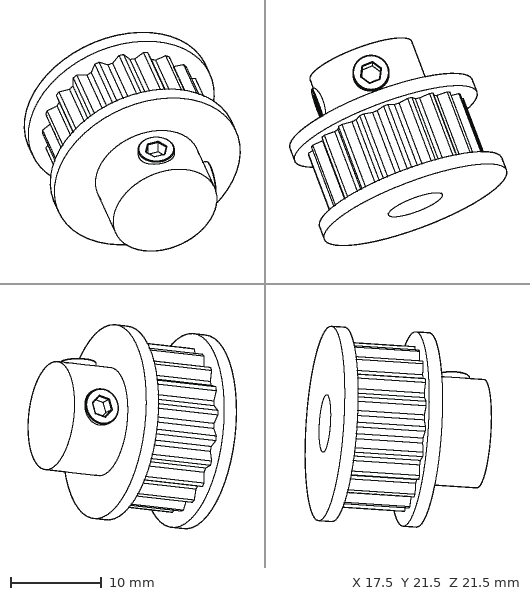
import math

import cadquery as cq

flange_diameter = 21.5
flange_thickness = 1.5
drum_width = 8.0
hub_diameter = 12.0
hub_length = 6.5
body_length = 2 * flange_thickness + drum_width + hub_length

bore_diameter = 6.35
bore_end_wall = 0.65

tooth_count = 20
tip_diameter = 18.19
tip_width = 0.52
root_diameter = 16.38
gap_width = 0.55

screw_diameter = 4.0
screw_length = 3.12
screw_edge_chamfer = 0.09
socket_across_flats = 2.02
socket_depth = 1.5
screw_x = body_length - hub_length / 2

z_screw_reach = 6.36
z_screw_turn = -57.5
y_screw_reach = 6.3
y_screw_turn = -103.0


def axial_plane(x):
    """Plane across the pulley axis at x, with its local x along +Z and its normal along +X."""
    return cq.Workplane(cq.Plane(origin=(x, 0, 0), xDir=(0, 0, 1), normal=(1, 0, 0)))


def axial_disc(x, diameter, length):
    return axial_plane(x).circle(diameter / 2).extrude(length)


def polar_point(radius, angle):
    return (radius * math.cos(angle), radius * math.sin(angle))


def make_toothed_drum():
    tip_radius = tip_diameter / 2
    root_radius = root_diameter / 2
    pitch_angle = 2 * math.pi / tooth_count
    tip_half_angle = math.asin(tip_width / 2 / tip_radius)
    gap_half_angle = math.asin(gap_width / 2 / root_radius)
    outline = []
    for tooth in range(tooth_count):
        tip_angle = tooth * pitch_angle
        gap_angle = tip_angle + pitch_angle / 2
        outline += [
            polar_point(tip_radius, tip_angle - tip_half_angle),
            polar_point(tip_radius, tip_angle + tip_half_angle),
            polar_point(root_radius, gap_angle - gap_half_angle),
            polar_point(root_radius, gap_angle + gap_half_angle),
        ]
    return axial_plane(flange_thickness).polyline(outline).close().extrude(drum_width)


def make_screw_blank():
    """Plain screw cylinder with its outer face at z = 0, reaching down -Z."""
    return cq.Workplane("XY").circle(screw_diameter / 2).extrude(-screw_length)


def make_set_screw():
    """Screw with a hex socket; its rim and the socket's mouth are both chamfered."""
    socket_corner_diameter = socket_across_flats / math.cos(math.pi / 6)
    socket = (
        cq.Workplane("XY")
        .polygon(6, socket_corner_diameter)
        .extrude(-socket_depth)
        .rotate((0, 0, 0), (0, 0, 1), 30)
    )
    return make_screw_blank().cut(socket).faces(">Z").chamfer(screw_edge_chamfer)


def place_on_z_side(screw):
    turned = screw.rotate((0, 0, 0), (0, 0, 1), z_screw_turn)
    return turned.translate((screw_x, 0, z_screw_reach))


def place_on_y_side(screw):
    turned = screw.rotate((0, 0, 0), (0, 0, 1), y_screw_turn)
    tipped = turned.rotate((0, 0, 0), (1, 0, 0), -90)
    return tipped.translate((screw_x, y_screw_reach, 0))


screw_placements = [place_on_z_side, place_on_y_side]


def make_screw_hole():
    """Hole cutter with the screw's outer face at z = 0, running on down into the bore."""
    return cq.Workplane("XY").circle(screw_diameter / 2).extrude(-z_screw_reach)


def make_pulley():
    hub_start = body_length - hub_length
    pulley = (
        make_toothed_drum()
        .union(axial_disc(0, flange_diameter, flange_thickness))
        .union(axial_disc(hub_start - flange_thickness, flange_diameter, flange_thickness))
        .union(axial_disc(hub_start, hub_diameter, hub_length))
        .cut(axial_disc(0, bore_diameter, body_length - bore_end_wall))
    )
    for place in screw_placements:
        pulley = pulley.cut(place(make_screw_hole()))
    return pulley


pulley = make_pulley()
set_screws = [place(make_set_screw()) for place in screw_placements]

result = cq.Compound.makeCompound([pulley.val(), *[screw.val() for screw in set_screws]])